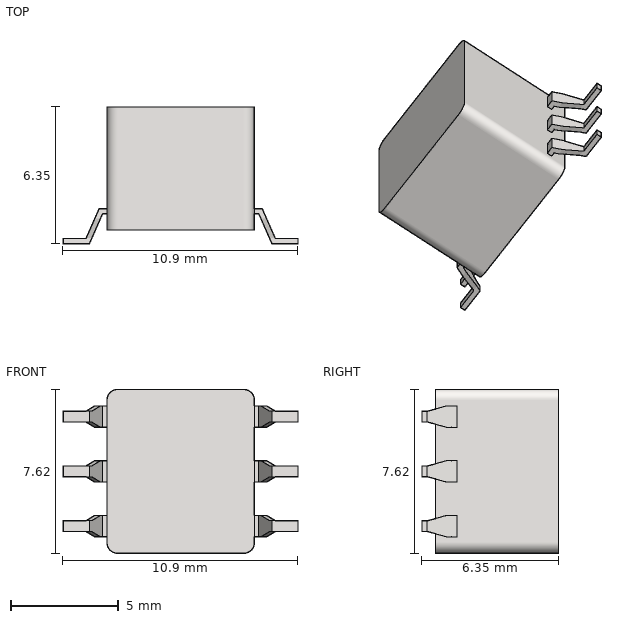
import cadquery as cq

span = 10.92
overall_depth = 6.35
body_height = 7.62

body_width = 6.86
corner_radius = 0.5
standoff = 0.63

leads_per_side = 3
lead_pitch = 2.54
lead_thickness = 0.25
lead_width = 1.0
foot_width = lead_width / 2
shoulder_y = 1.64
taper_start_y = 1.17
shoulder_x = 3.79
foot_bend_x = 4.4

leg_slope = (foot_bend_x - shoulder_x) / (shoulder_y - lead_thickness)
heel_x = 4.24
inner_bend_y = shoulder_y - lead_thickness
inner_bend_x = heel_x - leg_slope * inner_bend_y


def make_body():
    """Block with its four long edges rounded."""
    depth = overall_depth - standoff
    block = cq.Workplane("XY").box(body_width, depth, body_height)
    return block.edges("|Y").fillet(corner_radius).translate((0, standoff + depth / 2, 0))


def make_lead():
    """Gull-wing lead on the +X side, centred on Z = 0."""
    bent_strip = (
        cq.Workplane("XY")
        .moveTo(body_width / 2, shoulder_y)
        .lineTo(shoulder_x, shoulder_y)
        .lineTo(foot_bend_x, lead_thickness)
        .lineTo(span / 2, lead_thickness)
        .lineTo(span / 2, 0)
        .lineTo(heel_x, 0)
        .lineTo(inner_bend_x, inner_bend_y)
        .lineTo(body_width / 2, inner_bend_y)
        .close()
        .extrude(lead_width / 2, both=True)
    )
    width_outline = (
        cq.Workplane("YZ")
        .moveTo(shoulder_y, -lead_width / 2)
        .lineTo(taper_start_y, -lead_width / 2)
        .lineTo(lead_thickness, -foot_width / 2)
        .lineTo(0, -foot_width / 2)
        .lineTo(0, foot_width / 2)
        .lineTo(lead_thickness, foot_width / 2)
        .lineTo(taper_start_y, lead_width / 2)
        .lineTo(shoulder_y, lead_width / 2)
        .close()
        .extrude(span / 2)
    )
    return bent_strip.intersect(width_outline)


result = make_body()
right_lead = make_lead()
left_lead = right_lead.mirror("YZ")
for index in range(leads_per_side):
    lead_z = (index - (leads_per_side - 1) / 2) * lead_pitch
    for lead in (left_lead, right_lead):
        result = result.union(lead.translate((0, 0, lead_z)))